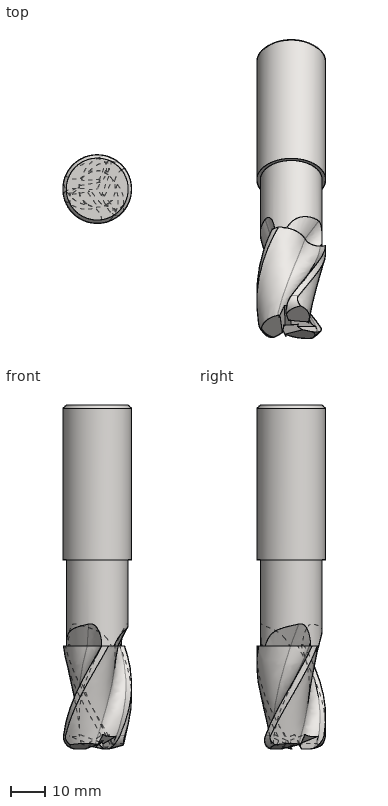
import cadquery as cq
import math

SHANK_DIAMETER = 20.0
NECK_DIAMETER = 18.0
TOTAL_LENGTH = 100.0
SHANK_LENGTH = 45.0
SHANK_CHAMFER = 1.0
CUTTING_DIAMETER = 20.0
CUTTING_LENGTH = 30.0
CORNER_RADIUS = 4.0
TOOTH_COUNT = 3
HELIX_ANGLE = 30.0

EDGE_AZIMUTH = -82.5
LAND_ANGLE = 11.8
BACK_RADIUS = 8.9
BACK_ANGLE = 26.5
ROOT_RADIUS = 5.5
ROOT_ANGLE = 80.5
RAKE_RADIUS = 8.4
RAKE_ANGLE = 1.0
RAKE_CURVE_RADIUS = 5.7
RAKE_CURVE_ANGLE = -12.0

RUNOUT_AZIMUTH = -84.0
RUNOUT_SLOPE = 0.63
RUNOUT_HEIGHT = 10.0

END_RELIEF_ANGLE = 15.5
GASH_START_HEIGHT = 0.8
GASH_RISE_ANGLE = 23.0
GASH_RAKE_ANGLE = 27.0
GASH_OVERRUN = 2.5
GASH_WIDTH = 2.7
GASH_WALL_ANGLE = 8.0
GASH_DEPTH = 10.0

CUTTER_CLEARANCE = 3.0
CUTTER_OVERRUN = 1.0
CUT_TOLERANCE = 0.001

neck_radius = NECK_DIAMETER / 2
cutting_radius = CUTTING_DIAMETER / 2
tooth_pitch = 360.0 / TOOTH_COUNT
helix_lead = math.pi * CUTTING_DIAMETER / math.tan(math.radians(HELIX_ANGLE))
twist_per_mm = 360.0 / helix_lead
twist = twist_per_mm * CUTTING_LENGTH
tip_edge_azimuth = EDGE_AZIMUTH - twist
clear_radius = cutting_radius + CUTTER_CLEARANCE


def polar(radius, angle):
    """Point at a radius from the tool axis and an azimuth in degrees."""
    return (radius * math.cos(math.radians(angle)), radius * math.sin(math.radians(angle)))


def flute_section(edge_azimuth, height):
    """Outline of the flute in front of the cutting edge at the given azimuth, open to the outside."""
    previous_edge = edge_azimuth - tooth_pitch
    land_end = previous_edge + LAND_ANGLE
    return (
        cq.Workplane("XY", origin=(0, 0, height))
        .moveTo(*polar(clear_radius, land_end))
        .lineTo(*polar(cutting_radius, land_end))
        .threePointArc(
            polar(BACK_RADIUS, previous_edge + BACK_ANGLE), polar(ROOT_RADIUS, previous_edge + ROOT_ANGLE)
        )
        .threePointArc(
            polar(RAKE_CURVE_RADIUS, edge_azimuth + RAKE_CURVE_ANGLE),
            polar(RAKE_RADIUS, edge_azimuth + RAKE_ANGLE),
        )
        .lineTo(*polar(cutting_radius, edge_azimuth))
        .lineTo(*polar(clear_radius, edge_azimuth))
        .threePointArc(polar(clear_radius, (land_end + edge_azimuth) / 2), polar(clear_radius, land_end))
        .close()
    )


def helical_flute(turn):
    """Flute of the cutting head, running past both of its ends."""
    overrun_twist = twist_per_mm * CUTTER_OVERRUN
    start = tip_edge_azimuth - overrun_twist + turn
    length = CUTTING_LENGTH + 2 * CUTTER_OVERRUN
    return flute_section(start, -CUTTER_OVERRUN).twistExtrude(length, twist_per_mm * length)


def flute_runout(turn):
    """Flute section swept straight upward and outward from the top of the cutting head."""
    section = flute_section(EDGE_AZIMUTH + turn, CUTTING_LENGTH)
    shift = polar(RUNOUT_SLOPE * RUNOUT_HEIGHT, RUNOUT_AZIMUTH + turn)
    direction = cq.Vector(*shift, RUNOUT_HEIGHT)
    return cq.Workplane(cq.Solid.extrudeLinear(section.val(), [], direction))


def make_shank():
    """Chamfered shank with the neck below it and the flute run-outs cut into the neck."""
    shank = (
        cq.Workplane("XY", origin=(0, 0, TOTAL_LENGTH - SHANK_LENGTH))
        .circle(SHANK_DIAMETER / 2)
        .extrude(SHANK_LENGTH)
        .faces(">Z")
        .chamfer(SHANK_CHAMFER)
    )
    neck_length = TOTAL_LENGTH - SHANK_LENGTH - CUTTING_LENGTH
    neck = cq.Workplane("XY", origin=(0, 0, CUTTING_LENGTH)).circle(neck_radius).extrude(neck_length)
    shank = shank.union(neck)
    for tooth in range(TOOTH_COUNT):
        shank = shank.cut(flute_runout(tooth * tooth_pitch))
    return shank


def end_relief():
    """Wedge under one tooth that rises behind the end cutting edge lying along +X."""
    rise = clear_radius * math.tan(math.radians(END_RELIEF_ANGLE))
    return (
        cq.Workplane("YZ")
        .polyline([(0, 0), (clear_radius, rise), (clear_radius, -CUTTER_OVERRUN), (0, -CUTTER_OVERRUN)])
        .close()
        .extrude(clear_radius)
    )


def gash():
    """Notch in front of the end cutting edge lying along +X, deepening outward and running past the axis."""
    drop = GASH_WIDTH * math.tan(math.radians(GASH_WALL_ANGLE))
    return (
        cq.Workplane("YZ", origin=(-GASH_OVERRUN, 0, 0))
        .polyline([(0, 0), (-GASH_WIDTH, drop), (-GASH_WIDTH, -GASH_DEPTH), (0, -GASH_DEPTH)])
        .close()
        .extrude(GASH_OVERRUN + clear_radius)
        .rotate((0, 0, 0), (0, 1, 0), -GASH_RISE_ANGLE)
        .translate((0, 0, GASH_START_HEIGHT))
        .rotate((0, 0, 0), (1, 0, 0), -GASH_RAKE_ANGLE)
    )


def make_head():
    """Cutting head with rounded corners, helical flutes and relieved, gashed end teeth."""
    head = (
        cq.Workplane("XY")
        .circle(cutting_radius)
        .extrude(CUTTING_LENGTH)
        .faces("<Z")
        .edges()
        .fillet(CORNER_RADIUS)
    )
    for tooth in range(TOOTH_COUNT):
        turn = tooth * tooth_pitch
        head = head.cut(helical_flute(turn), tol=CUT_TOLERANCE)
        for cutter in (end_relief(), gash()):
            head = head.cut(cutter.rotate((0, 0, 0), (0, 0, 1), tip_edge_azimuth + turn))
    return head


shank = make_shank()
cutting_head = make_head()
result = cq.Compound.makeCompound([shank.solids().val(), cutting_head.solids().val()])